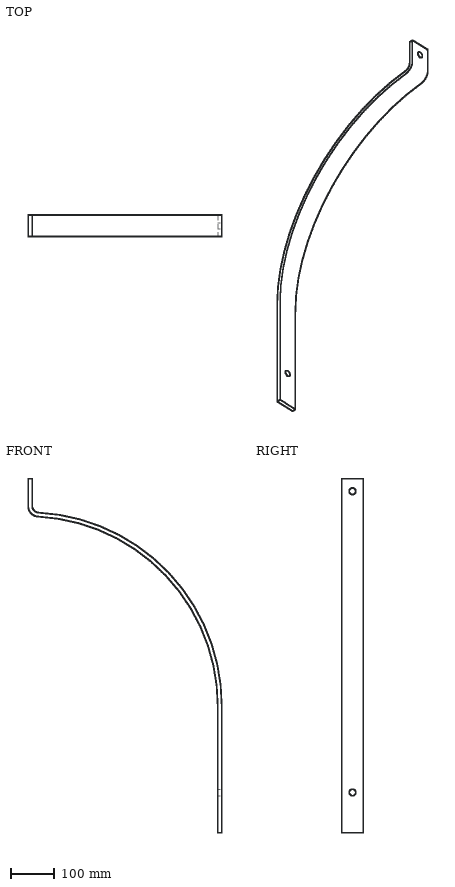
import cadquery as cq
import math

height = 823.0
reach = 450.0
strip_width = 50.0
thickness = 10.0
lower_leg = 295.0
bend_inner_radius = 15.0
hole_diameter = 15.0
top_hole_offset = 30.0
bottom_hole_height = 94.0

arc_outer = reach
arc_inner = arc_outer - thickness

bend_outer_radius = bend_inner_radius + thickness
bend_x = bend_outer_radius
centre_distance = arc_outer + bend_inner_radius
bend_z = lower_leg + math.sqrt(centre_distance**2 - bend_x**2)
joint_angle = math.acos(bend_x / centre_distance)


def arc_point(radius, angle):
    """Point on a circle about the large arc's centre."""
    return (radius * math.cos(angle), lower_leg + radius * math.sin(angle))


def bend_point(radius, angle):
    """Point on a circle about the small bend's centre."""
    return (bend_x + radius * math.cos(angle), bend_z + radius * math.sin(angle))


def make_strip():
    """Bent flat bar, extruded symmetrically about Y = 0."""
    arc_middle = joint_angle / 2
    bend_end = math.pi + joint_angle
    bend_middle = (math.pi + bend_end) / 2
    profile = (
        cq.Workplane("XZ")
        .moveTo(arc_inner, 0)
        .lineTo(arc_outer, 0)
        .lineTo(arc_outer, lower_leg)
        .threePointArc(arc_point(arc_outer, arc_middle), arc_point(arc_outer, joint_angle))
        .threePointArc(bend_point(bend_inner_radius, bend_middle), (thickness, bend_z))
        .lineTo(thickness, height)
        .lineTo(0, height)
        .lineTo(0, bend_z)
        .threePointArc(bend_point(bend_outer_radius, bend_middle), arc_point(arc_inner, joint_angle))
        .threePointArc(arc_point(arc_inner, arc_middle), (arc_inner, lower_leg))
        .close()
    )
    return profile.extrude(strip_width / 2, both=True)


def hole_cutter(x_start, z):
    """Cylinder along X, one strip thickness long."""
    return (
        cq.Workplane("YZ", origin=(x_start, 0, z))
        .circle(hole_diameter / 2)
        .extrude(thickness)
    )


result = make_strip()
for face_x, hole_z in ((0, height - top_hole_offset), (arc_inner, bottom_hole_height)):
    result = result.cut(hole_cutter(face_x, hole_z))